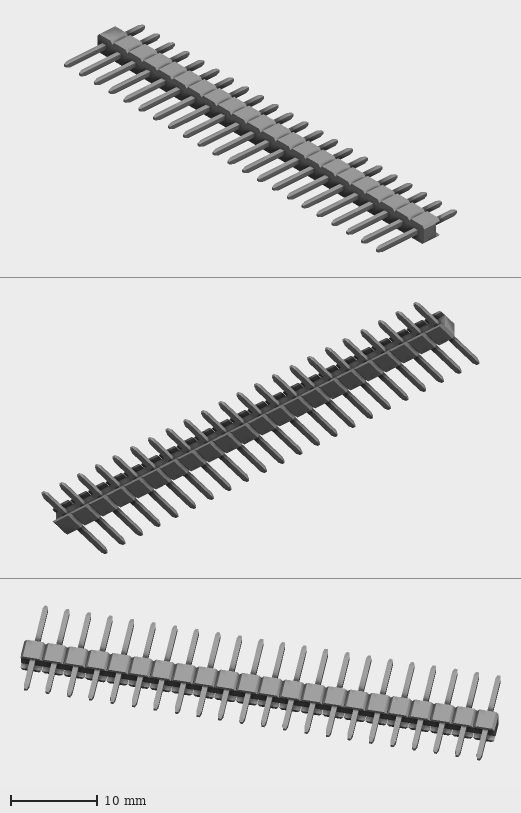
import cadquery as cq

pin_count = 22
strip_length = 55.9
pitch = strip_length / pin_count

housing_height = 2.5
housing_depth = 2.5
notch_depth = 0.365
notch_half_width = 0.31

lip_thickness = 0.35
channel_depth = 0.65

overall_depth = 12.4
pin_width = 0.6
front_pin_length = 6.15
tip_length = 0.55
tip_width = 0.35
pin_offset_x = -0.1

front_face_y = -housing_depth / 2
back_face_y = housing_depth / 2
front_tip_y = front_face_y - front_pin_length
back_tip_y = front_tip_y + overall_depth


def position_x(index):
    """Centre of one pin position along the row."""
    return -strip_length / 2 + (index + 0.5) * pitch


def make_housing_cell():
    """One position of the housing: an octagonal block, channelled at the back."""
    side = pitch / 2
    flat = side - notch_half_width
    top = housing_height / 2
    shoulder = top - notch_depth
    outline = [
        (-side, -shoulder),
        (-flat, -top),
        (flat, -top),
        (side, -shoulder),
        (side, shoulder),
        (flat, top),
        (-flat, top),
        (-side, shoulder),
    ]
    block = (
        cq.Workplane("XZ", origin=(0, back_face_y, 0))
        .polyline(outline)
        .close()
        .extrude(housing_depth)
    )
    channel_height = housing_height - 2 * lip_thickness
    channel = cq.Workplane("XY").box(pitch, channel_depth, channel_height)
    return block.cut(channel.translate((0, back_face_y - channel_depth / 2, 0)))


def make_tip(base_y, end_y):
    """Square taper from the full pin section at base_y to the blunt end at end_y."""
    return (
        cq.Workplane("XZ", origin=(pin_offset_x, base_y, 0))
        .rect(pin_width, pin_width)
        .workplane(offset=base_y - end_y)
        .rect(tip_width, tip_width)
        .loft()
    )


def make_pin():
    """Straight square pin tapered at both ends."""
    shank_front_y = front_tip_y + tip_length
    shank_back_y = back_tip_y - tip_length
    shank = (
        cq.Workplane("XZ", origin=(pin_offset_x, shank_back_y, 0))
        .rect(pin_width, pin_width)
        .extrude(shank_back_y - shank_front_y)
    )
    return shank.union(make_tip(shank_front_y, front_tip_y)).union(make_tip(shank_back_y, back_tip_y))


position = make_housing_cell().union(make_pin())

result = position.translate((position_x(0), 0, 0))
for index in range(1, pin_count):
    result = result.union(position.translate((position_x(index), 0, 0)))
result = result.clean()